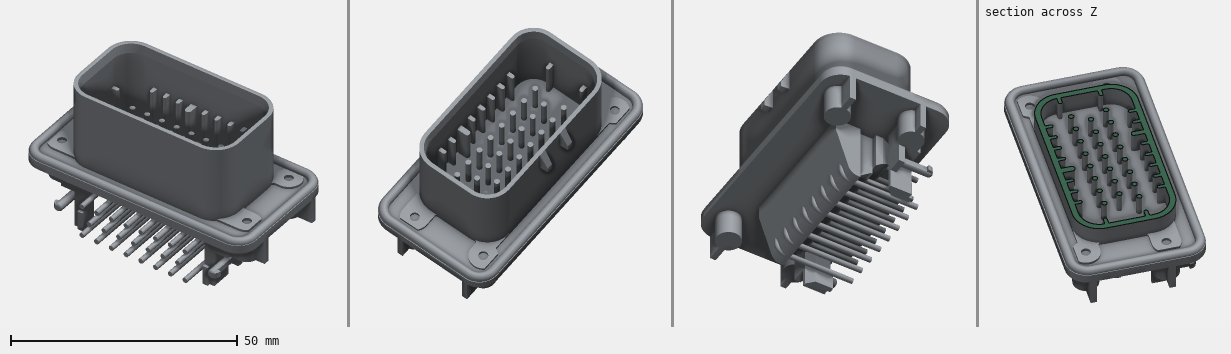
import cadquery as cq
import math


flange_length = 60.8
flange_width = 32.1
flange_corner = 5.05
flange_top = 2.15

gasket_inset = 0.15
gasket_radius = 1.12
gasket_lift = 0.08

shroud_length = 43.4
shroud_width = 23.6
shroud_corner = 6.2
shroud_top = 21.95
shroud_wall = 1.5
rim_wall = 1.0
lead_in_depth = 2.2

latch_spacing = 7.2
latch_overhang = 2.05
latch_root_width = 1.85
latch_tip_width = 1.55
latch_ramp_height = 3.95
latch_height = 5.4

pad_height = 0.6
pad_radius = 3.3
rear_hole_x = 23.6
rear_hole_y = 10.8
front_hole_x = 25.1
front_hole_y = -7.25
pilot_radius = 1.1
pilot_depth = 0.7
rear_pad_end_y = 13.05
rear_pad_step_x = 20.3
front_pad_end_x = 27.25
pad_flare = 0.6
post_radius = 3.0
post_height = 6.45
post_rib_width = 1.45

rib_top = 12.0
rib_count = 8
rib_pitch = 3.5
rib_width = 1.0
rib_reach = 1.75
wide_rib_width = 1.6
long_rib_reach = 2.95
long_front_rib_width = 1.35
rear_wide_rib = 3
front_long_rib = 5
side_rib_ys = (5.15, -4.2)

pin_radius = 0.65
pin_pitch = 4.0
pin_top = 9.75
pin_bend = 2.3
tail_end_y = -15.3
pin_rows = ((4.0, -13.8, 8), (0.0, -9.85, 7), (-4.0, -5.8, 8))

carrier_half = 16.7
middle_step_half = 15.3
face_setback = 3.17
step_lip = 0.45
slope_drop = 0.74
carrier_back_y = 7.05
carrier_back_straight = 3.2
carrier_back_lean = 0.339
carrier_back_round = 2.5
gusset_taper_start = -5.05
gusset_taper_ratio = 0.51
gusset_top_y = -10.8

leg_inner_x = 16.35
leg_outer_x = 18.95
leg_back_y = -5.6
leg_front_y = -11.05
leg_bottom = -15.85
leg_back_chamfer = 1.7
foot_width = 1.35
foot_depth = 0.75
upper_foot_bottom = -2.0
lower_foot_top = -10.9
bracket_outer_x = 22.7
bracket_front_y = -7.1
bracket_bottom = -11.1
lock_x = 20.8
lock_z = -9.35
lock_radius = 1.05
lock_end_y = -15.05
lock_end_round = 0.6
lock_barb_x = 22.35
lock_barb_height = 1.4
lock_barb_start_y = -13.35
lock_barb_round = 1.45

shroud_half_length = shroud_length / 2
shroud_half_width = shroud_width / 2
cavity_half_length = shroud_half_length - shroud_wall
cavity_half_width = shroud_half_width - shroud_wall


def block(x_from, x_to, y_from, y_to, z_from, z_to):
    """Axis-aligned box between two opposite corners, given in any order."""
    size = (abs(x_to - x_from), abs(y_to - y_from), abs(z_to - z_from))
    low = (min(x_from, x_to), min(y_from, y_to), min(z_from, z_to))
    return cq.Workplane("XY").box(*size, centered=False).translate(low)


def rounded_plate(length, width, corner, z_from, z_to):
    """Upright prism over a rectangle with rounded corners."""
    prism = cq.Workplane("XY", origin=(0, 0, z_from)).rect(length, width).extrude(z_to - z_from)
    return prism.edges("|Z").fillet(corner)


def cylinder(x, y, radius, z_from, z_to):
    return cq.Workplane("XY", origin=(x, y, z_from)).circle(radius).extrude(z_to - z_from)


def both_sides(solid):
    """The solid together with its mirror image across X = 0."""
    return solid.union(solid.mirror("YZ"))


def side_profile(points, half_width):
    """Prism along X over (Y, Z) points, reaching half_width to either side."""
    return cq.Workplane("YZ").polyline(points).close().extrude(half_width, both=True)


def gasket():
    """Round bead along the edge of the flange, sunk nearly to its middle."""
    inset = gasket_inset + gasket_radius
    length = flange_length - 2 * inset
    width = flange_width - 2 * inset
    corner = flange_corner - inset
    centre_z = flange_top + gasket_lift
    path = rounded_plate(length, width, corner, 0, centre_z).faces(">Z").wires()
    return cq.Workplane("XZ", origin=(length / 2, 0, centre_z)).circle(gasket_radius).sweep(path)


def latches():
    """Two wedge latches at the top of the rear wall, narrowing toward their tips."""
    tip_y = shroud_half_width + latch_overhang
    wedge = side_profile(
        [
            (cavity_half_width + rim_wall, shroud_top),
            (shroud_half_width, shroud_top),
            (tip_y, shroud_top - latch_ramp_height),
            (tip_y, shroud_top - latch_height),
            (cavity_half_width + rim_wall, shroud_top - latch_height),
        ],
        latch_root_width / 2,
    )
    root = latch_root_width / 2
    tip = latch_tip_width / 2
    plan = (
        cq.Workplane("XY")
        .polyline([(-root, 0), (-root, shroud_half_width), (-tip, tip_y),
                   (tip, tip_y), (root, shroud_half_width), (root, 0)])
        .close()
        .extrude(shroud_top)
    )
    latch = wedge.intersect(plan)
    return both_sides(latch.translate((latch_spacing / 2, 0, 0)))


def cavity():
    """Opening of the shroud down to the flange top, with a tapered lead-in at the rim."""
    length = 2 * cavity_half_length
    width = 2 * cavity_half_width
    corner = shroud_corner - shroud_wall
    flare = shroud_wall - rim_wall
    pocket = rounded_plate(length, width, corner, flange_top, shroud_top)
    lead_in = rounded_plate(length + 2 * flare, width + 2 * flare, corner + flare,
                            shroud_top - lead_in_depth, shroud_top + lead_in_depth)
    lead_in = lead_in.faces("<Z").chamfer(lead_in_depth, flare)
    return pocket.union(lead_in)


def screw_pads():
    """Raised pads that join the four screw holes to the shroud wall."""
    top = flange_top + pad_height
    wall_x = shroud_half_length
    inner_x = cavity_half_length - shroud_corner
    rear_low = rear_hole_y - pad_radius
    front_high = front_hole_y + pad_radius
    front_low = front_hole_y - pad_radius

    rear_step = rear_pad_end_y - shroud_half_width
    rear_arm = [
        (rear_hole_x, rear_low),
        (wall_x + pad_flare / 2, rear_low),
        (wall_x - pad_flare / 2, rear_low - pad_flare),
        (inner_x, rear_low - pad_flare),
        (inner_x, shroud_half_width),
        (rear_pad_step_x, shroud_half_width),
        (rear_pad_step_x + rear_step, rear_pad_end_y),
        (rear_hole_x, rear_pad_end_y),
    ]
    front_arm = [
        (front_hole_x, front_high),
        (wall_x + pad_flare / 2, front_high),
        (wall_x, front_high + pad_flare / 2),
        (inner_x, front_high + pad_flare / 2),
        (inner_x, front_low),
        (front_hole_x, front_low),
    ]

    rear_round = cylinder(rear_hole_x, rear_hole_y, pad_radius, flange_top, top)
    rear_round = rear_round.intersect(block(0, flange_length, 0, rear_pad_end_y, 0, top))
    front_round = cylinder(front_hole_x, front_hole_y, pad_radius, flange_top, top)
    front_round = front_round.intersect(block(0, front_pad_end_x, 0, -flange_width, 0, top))
    pads = rear_round.union(front_round)
    for arm in (rear_arm, front_arm):
        pads = pads.union(
            cq.Workplane("XY", origin=(0, 0, flange_top)).polyline(arm).close().extrude(pad_height)
        )
    return both_sides(pads)


def pilot_holes():
    top = flange_top + pad_height
    holes = cylinder(rear_hole_x, rear_hole_y, pilot_radius, top - pilot_depth, top)
    holes = holes.union(cylinder(front_hole_x, front_hole_y, pilot_radius, top - pilot_depth, top))
    return both_sides(holes)


def posts():
    """Round posts under the screw pads, each with a rib out to the flange edge."""
    solid = cylinder(rear_hole_x, rear_hole_y, post_radius, -post_height, 0)
    solid = solid.union(cylinder(front_hole_x, front_hole_y, post_radius, -post_height, 0))
    for x, y in ((rear_hole_x, rear_hole_y), (front_hole_x, front_hole_y)):
        half = post_rib_width / 2
        solid = solid.union(block(x, flange_length / 2, y - half, y + half, -post_height, 0))
    flange_outline = rounded_plate(flange_length, flange_width, flange_corner, -post_height, 0)
    solid = solid.intersect(flange_outline)
    web = block(bracket_outer_x, front_hole_x, front_hole_y, front_hole_y - post_radius, -post_height, 0)
    return both_sides(solid.union(web))


def round_ended_rib(width, reach):
    """Rib along +Y from the wall face at Y = 0 (its root sinks into the wall) to a rounded end."""
    height = rib_top - flange_top
    stem_end = reach - width / 2
    stem = block(-width / 2, width / 2, -rim_wall, stem_end, flange_top, rib_top)
    tip = cq.Workplane("XY", origin=(0, stem_end, flange_top)).circle(width / 2).extrude(height)
    return stem.union(tip)


def polarising_ribs():
    plain = round_ended_rib(rib_width, rib_reach)
    rear_long = round_ended_rib(wide_rib_width, long_rib_reach)
    front_long = round_ended_rib(long_front_rib_width, long_rib_reach)
    ribs = cq.Workplane("XY")
    for index in range(rib_count):
        x = (index - (rib_count - 1) / 2) * rib_pitch
        front = front_long if index == front_long_rib else plain
        rear = rear_long if index == rear_wide_rib else plain
        ribs = ribs.union(front.translate((x, -cavity_half_width, 0)))
        ribs = ribs.union(rear.rotate((0, 0, 0), (0, 0, 1), 180).translate((x, cavity_half_width, 0)))
    for y in side_rib_ys:
        side = plain.rotate((0, 0, 0), (0, 0, 1), 90).translate((cavity_half_length, y, 0))
        ribs = ribs.union(both_sides(side))
    return ribs


def bent_pin(x, y, tail_z):
    """Round pin running down at the given X and Y, then bent toward -Y at the tail height."""
    bend_mid = pin_bend * (1 - math.sqrt(0.5))
    path = (
        cq.Workplane("YZ", origin=(x, 0, 0))
        .moveTo(y, pin_top)
        .lineTo(y, tail_z + pin_bend)
        .threePointArc((y - bend_mid, tail_z + bend_mid), (y - pin_bend, tail_z))
        .lineTo(tail_end_y, tail_z)
    )
    return cq.Workplane("XY", origin=(x, y, pin_top)).circle(pin_radius).sweep(path)


def add_pins(body):
    for y, tail_z, count in pin_rows:
        for index in range(count):
            x = (index - (count - 1) / 2) * pin_pitch
            body = body.union(bent_pin(x, y, tail_z))
    return body


def carrier():
    """Stepped block: each pin row leaves through an upright face, with sloped undersides between."""
    (low_y, low_z), (mid_y, mid_z), (high_y, high_z) = [
        (y - face_setback, tail_z) for y, tail_z, _ in pin_rows
    ]
    low_bottom = low_z - pin_radius
    back_bottom_y = carrier_back_y - carrier_back_lean * (-low_bottom - carrier_back_straight)
    back_step = side_profile(
        [
            (low_y, 0),
            (carrier_back_y, 0),
            (carrier_back_y, -carrier_back_straight),
            (back_bottom_y, low_bottom),
            (low_y, low_bottom),
        ],
        carrier_half,
    )
    back_step = back_step.edges("|X").edges("<Z").edges(">Y").fillet(carrier_back_round)

    mid_bottom = mid_z - pin_radius
    mid_lip_y = mid_y + step_lip
    mid_slope = slope_drop * (low_y - mid_lip_y)
    middle_step = side_profile(
        [
            (low_y, 0),
            (low_y, mid_bottom - mid_slope),
            (mid_lip_y, mid_bottom),
            (mid_y, mid_bottom),
            (mid_y, 0),
        ],
        middle_step_half,
    )

    high_bottom = high_z - pin_radius
    high_lip_y = high_y + step_lip
    high_slope = slope_drop * (mid_y - high_lip_y)
    front_step = side_profile(
        [
            (mid_y, 0),
            (mid_y, high_bottom - high_slope),
            (high_lip_y, high_bottom),
            (high_y, high_bottom),
            (high_y, high_z + pin_radius),
            (gusset_top_y, 0),
        ],
        carrier_half,
    )
    tip_half = carrier_half - gusset_taper_ratio * (gusset_taper_start - gusset_top_y)
    taper = (
        cq.Workplane("XY", origin=(0, 0, leg_bottom))
        .polyline([
            (-carrier_half, mid_y),
            (-carrier_half, gusset_taper_start),
            (-tip_half, gusset_top_y),
            (tip_half, gusset_top_y),
            (carrier_half, gusset_taper_start),
            (carrier_half, mid_y),
        ])
        .close()
        .extrude(-leg_bottom)
    )
    return back_step.union(middle_step).union(front_step.intersect(taper))


def legs():
    """Board stand-off legs with feet, and the brackets that hold the board locks."""
    leg = block(leg_inner_x, leg_outer_x, leg_back_y, leg_front_y, leg_bottom, 0)
    leg = leg.edges("|Z").edges("<X").edges(">Y").chamfer(leg_back_chamfer)
    foot_x = leg_inner_x + foot_width
    foot_y = leg_front_y - foot_depth
    leg = leg.union(block(leg_inner_x, foot_x, leg_front_y, foot_y, upper_foot_bottom, 0))
    leg = leg.union(block(leg_inner_x, foot_x, leg_front_y, foot_y, leg_bottom, lower_foot_top))
    leg = leg.union(block(leg_outer_x, bracket_outer_x, leg_back_y, leg_front_y, -post_height, 0))
    leg = leg.union(
        block(leg_outer_x, bracket_outer_x, leg_back_y, bracket_front_y, bracket_bottom, -post_height)
    )
    return both_sides(leg)


def board_locks():
    """Round pegs toward -Y, flattened on the outer side, with a barb that is rounded at the end."""
    peg = (
        cq.Workplane("XZ", origin=(lock_x, leg_back_y, lock_z))
        .circle(lock_radius)
        .extrude(leg_back_y - lock_end_y)
        .faces("<Y")
        .edges()
        .fillet(lock_end_round)
    )
    half_height = lock_barb_height / 2
    flat_x = lock_x + math.sqrt(lock_radius**2 - half_height**2)
    peg = peg.intersect(
        block(lock_x - lock_radius, flat_x, leg_back_y, lock_end_y,
              lock_z - lock_radius, lock_z + lock_radius)
    )
    barb = block(lock_x, lock_barb_x, lock_barb_start_y, lock_end_y,
                 lock_z - half_height, lock_z + half_height)
    barb = barb.edges("|Z").edges(">X").edges("<Y").fillet(lock_barb_round)
    return both_sides(peg.union(barb))


result = rounded_plate(flange_length, flange_width, flange_corner, 0, flange_top)
result = result.union(gasket())
result = result.union(rounded_plate(shroud_length, shroud_width, shroud_corner, flange_top, shroud_top))
result = result.union(screw_pads()).union(latches())
result = result.cut(cavity()).cut(pilot_holes())
result = result.union(polarising_ribs())
result = result.union(posts()).union(carrier()).union(legs()).union(board_locks())
result = add_pins(result)